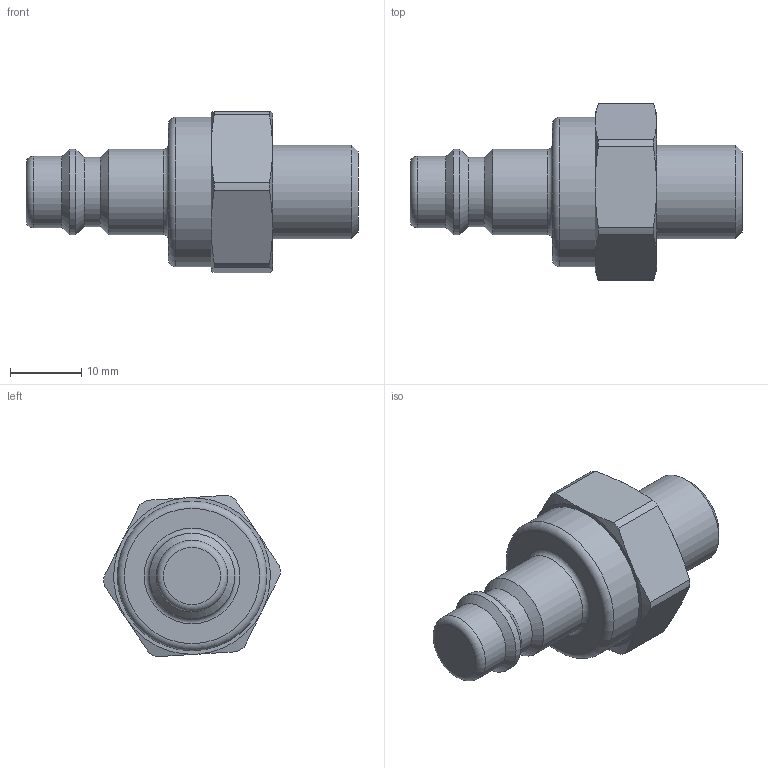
import cadquery as cq
import math


tip_diameter = 10.0
tip_rounding = 1.0
collar_diameter = 12.0
groove_diameter = 9.75
neck_diameter = 12.0
collar_ramp_start = 5.05
collar_land_start = collar_ramp_start + (collar_diameter - tip_diameter) / 2
collar_land_end = 7.0
groove_ramp_length = 1.2
groove_start = collar_land_end + groove_ramp_length
groove_end = 10.4
neck_start = groove_end + groove_ramp_length

body_diameter = 21.0
body_start = 20.0
body_rounding = 1.0
neck_fillet = 0.7

hex_sides = 6
hex_start = 26.0
hex_width = 8.6
hex_across_flats = 22.0
hex_corner_diameter = 24.8
hex_tilt = 3.57
hex_chamfer_angle = 17.0
hex_end = hex_start + hex_width

total_length = 46.6
stub_diameter = 13.16
stub_end_diameter = 11.44
stub_chamfer_length = (stub_diameter - stub_end_diameter) / 2


def revolve_about_x(profile):
    """Turn a closed XY profile, Y being the radius, a full turn about X."""
    return profile.close().revolve(360, (0, 0, 0), (1, 0, 0))


def rounding_midpoint(radius):
    """Distance along each axis from a sharp right-angle corner to the middle of its rounding."""
    return radius * (1 - math.sqrt(0.5))


def make_plug_and_body():
    tip_radius = tip_diameter / 2
    collar_radius = collar_diameter / 2
    groove_radius = groove_diameter / 2
    neck_radius = neck_diameter / 2
    body_radius = body_diameter / 2
    tip_mid = rounding_midpoint(tip_rounding)
    fillet_mid = rounding_midpoint(neck_fillet)
    body_mid = rounding_midpoint(body_rounding)
    profile = (
        cq.Workplane("XY")
        .lineTo(0, tip_radius - tip_rounding)
        .threePointArc((tip_mid, tip_radius - tip_mid), (tip_rounding, tip_radius))
        .lineTo(collar_ramp_start, tip_radius)
        .lineTo(collar_land_start, collar_radius)
        .lineTo(collar_land_end, collar_radius)
        .lineTo(groove_start, groove_radius)
        .lineTo(groove_end, groove_radius)
        .lineTo(neck_start, neck_radius)
        .lineTo(body_start - neck_fillet, neck_radius)
        .threePointArc(
            (body_start - fillet_mid, neck_radius + fillet_mid),
            (body_start, neck_radius + neck_fillet),
        )
        .lineTo(body_start, body_radius - body_rounding)
        .threePointArc(
            (body_start + body_mid, body_radius - body_mid),
            (body_start + body_rounding, body_radius),
        )
        .lineTo(hex_end, body_radius)
        .lineTo(hex_end, 0)
    )
    return revolve_about_x(profile)


def make_hexagon():
    flat_radius = hex_across_flats / 2
    corner_radius = hex_corner_diameter / 2
    chamfer_length = (corner_radius - flat_radius) * math.tan(math.radians(hex_chamfer_angle))
    sharp_corner_diameter = hex_across_flats / math.cos(math.pi / hex_sides)
    prism = (
        cq.Workplane("YZ", origin=(hex_start, 0, 0))
        .polygon(hex_sides, sharp_corner_diameter)
        .extrude(hex_width)
        .rotate((0, 0, 0), (1, 0, 0), -hex_tilt)
    )
    envelope = revolve_about_x(
        cq.Workplane("XY")
        .moveTo(hex_start, 0)
        .lineTo(hex_start, flat_radius)
        .lineTo(hex_start + chamfer_length, corner_radius)
        .lineTo(hex_end - chamfer_length, corner_radius)
        .lineTo(hex_end, flat_radius)
        .lineTo(hex_end, 0)
    )
    return prism.intersect(envelope)


def make_stub():
    profile = (
        cq.Workplane("XY")
        .moveTo(hex_end, 0)
        .lineTo(hex_end, stub_diameter / 2)
        .lineTo(total_length - stub_chamfer_length, stub_diameter / 2)
        .lineTo(total_length, stub_end_diameter / 2)
        .lineTo(total_length, 0)
    )
    return revolve_about_x(profile)


result = make_plug_and_body().union(make_hexagon()).union(make_stub())